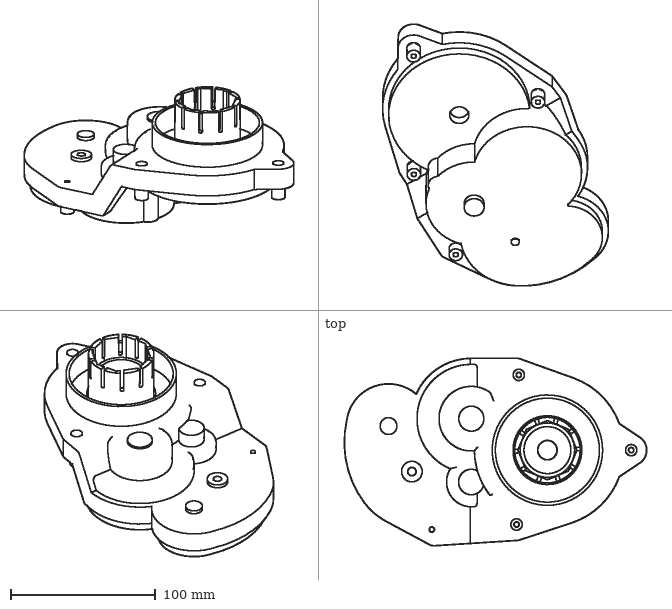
import cadquery as cq
import math


PIN_BOTTOM = -13.25
TRAY_BOTTOM = -8.2
LOWER_PLATE_BOTTOM = 0.0
LOWER_PLATE_TOP = 14.5
DRUM_BOTTOM = 17.0
GEAR_COVER_TOP = 22.9
UPPER_PLATE_BOTTOM = 25.1
POST_TOP = 32.9
UPPER_PLATE_TOP = 40.2
CUP_TOP = UPPER_PLATE_TOP + 17.0
HUB_TOP = PIN_BOTTOM + 87.5
LOW_PAD_HEIGHT = 2.4
TALL_PAD_HEIGHT = 1.3

STEP_SLOPE = math.tan(math.radians(60))
STEP_TOP_START_X = -53.2
STEP_BOTTOM_START_X = -44.9
STEP_TOP_END_X = STEP_TOP_START_X + (UPPER_PLATE_TOP - LOWER_PLATE_TOP) / STEP_SLOPE
STEP_BOTTOM_END_X = STEP_BOTTOM_START_X + UPPER_PLATE_BOTTOM / STEP_SLOPE
STEP_EDGE_RADIUS = 3.0

OUTPUT = (0.0, 0.0)
BIG_GEAR = (-52.5, 21.7)
SMALL_GEAR = (-52.5, -22.0)
LOBE = (-109.6, 16.6)
FLANK = (-70.7, 5.33)
EAR = (57.8, 0.0)

RIM = 4.2
DRUM_RADIUS = 48.8
BIG_GEAR_RADIUS = 37.5
PLATE_RADIUS = DRUM_RADIUS + RIM
SHOULDER_RADIUS = BIG_GEAR_RADIUS + RIM
LOBE_RADIUS = 29.2
FLANK_RADIUS = 69.5
CORNER_START_ANGLE = 217.0
CORNER_RADIUS = 45.0
EAR_RADIUS = 10.75
FRONT_CORNER_RADIUS = 6.5
EAR_ROOT_ANGLE = 20.2
SHOULDER_END = (-19.9, BIG_GEAR[1] + SHOULDER_RADIUS)
FRONT_EDGE_END = (-19.9, -62.3)
FRONT_EDGE_START = (-78.0, -66.05)
FLANK_EDGE_END = (-81.3, -65.3)

COVER_FILLET = 3.0
TALL_COVER_RADIUS = 22.3
SMALL_COVER_RADIUS = 17.1
OUTPUT_COVER_RADIUS = 50.4
POST_RADIUS = 8.8
TALL_PAD_RADIUS = 8.65
LOBE_PAD_RADIUS = 5.8
SHAFT_PAD = (-93.5, -14.8)
SHAFT_PAD_RADIUS = 7.1
SHAFT_HOLE_RADIUS = 2.8

UPPER_SCREWS = [(-19.75, 51.9), (-21.3, -51.3), EAR]
LOWER_SCREW = (-79.7, -54.8)
SCREW_BOSS_RADIUS = 4.67
SCREW_HEAD_RADIUS = 3.9
SCREW_HOLE_RADIUS = 1.7

CUP_RADIUS = 38.1
CUP_WALL = 2.2
HUB_CLEARANCE_RADIUS = 23.75
HUB_RADIUS = 22.6
HUB_BORE_RADIUS = 16.2
HUB_TUBE_RADIUS = 18.75
HUB_TUBE_TOP = 57.2
COLLAR_FLATS = 8
COLLAR_FLATS_DIAMETER = 37.7
COLLAR_FLATS_BOTTOM = UPPER_PLATE_TOP
SLOT_COUNT = 10
SLOT_WIDTH = 2.5
SLOT_BOTTOM = 58.9
SLOT_START_ANGLE = 2.0
OUTPUT_HOLE_RADIUS = 6.6

SMALL_GEAR_CASE_RADIUS = 33.2
TRAY_CORNER_RADIUS = 7.2
TRAY_CORNER = (-26.9, -34.5)
PIN_RADIUS = 6.9

REACH = 200.0
LEFT_END = -150.0
RIGHT_END = 80.0


def on_circle(center, radius, degrees):
    angle = math.radians(degrees)
    return (center[0] + radius * math.cos(angle), center[1] + radius * math.sin(angle))


def direction(start, end):
    """Angle in degrees of the way from start to end."""
    return math.degrees(math.atan2(end[1] - start[1], end[0] - start[0]))


def tangent_point(point, center, radius, side):
    """Where a line from point touches a circle; side is +1 or -1 for the turn seen from the center."""
    spread = math.degrees(math.acos(radius / math.dist(point, center)))
    return on_circle(center, radius, direction(center, point) + side * spread)


def crossing(center_a, radius_a, center_b, radius_b, side):
    """Where two circles cross; side is +1 for the left of the way from a to b, -1 for the right."""
    gap = math.dist(center_a, center_b)
    cosine = (radius_a**2 + gap**2 - radius_b**2) / (2 * radius_a * gap)
    spread = math.degrees(math.acos(cosine))
    return on_circle(center_a, radius_a, direction(center_a, center_b) + side * spread)


CORNER = on_circle(FLANK, FLANK_RADIUS - CORNER_RADIUS, CORNER_START_ANGLE)


def cylinder(center, radius, bottom, top):
    return cq.Workplane("XY", origin=(*center, bottom)).circle(radius).extrude(top - bottom)


def domed(center, radius, bottom, top):
    """Cylinder with a rounded top edge."""
    return cylinder(center, radius, bottom, top).faces(">Z").edges().fillet(COVER_FILLET)


def across(points):
    """Prism over the full depth of the part, from points in the XZ plane."""
    return cq.Workplane("XZ").polyline(points).close().extrude(REACH / 2, both=True)


def left_side(inset):
    """Start of the counterclockwise left end, and its lobe and flank arcs as (end, radius) pairs."""
    lobe_start = crossing(LOBE, LOBE_RADIUS - inset, BIG_GEAR, SHOULDER_RADIUS - inset, 1)
    flank_start = crossing(LOBE, LOBE_RADIUS - inset, FLANK, FLANK_RADIUS - inset, -1)
    corner_start = on_circle(FLANK, FLANK_RADIUS - inset, CORNER_START_ANGLE)
    return lobe_start, [
        (flank_start, LOBE_RADIUS - inset),
        (corner_start, FLANK_RADIUS - inset),
    ]


def housing_outline():
    lobe_start, left_arcs = left_side(0)
    corner_end = tangent_point(FLANK_EDGE_END, CORNER, CORNER_RADIUS, -1)
    front_root = on_circle(OUTPUT, PLATE_RADIUS, -EAR_ROOT_ANGLE)
    back_root = on_circle(OUTPUT, PLATE_RADIUS, EAR_ROOT_ANGLE)
    outline = cq.Workplane("XY").moveTo(*lobe_start)
    for end, radius in left_arcs + [(corner_end, CORNER_RADIUS)]:
        outline = outline.radiusArc(end, -radius)
    return (
        outline.lineTo(*FLANK_EDGE_END)
        .radiusArc(FRONT_EDGE_START, -FRONT_CORNER_RADIUS)
        .lineTo(*FRONT_EDGE_END)
        .lineTo(*tangent_point(FRONT_EDGE_END, OUTPUT, PLATE_RADIUS, 1))
        .radiusArc(front_root, -PLATE_RADIUS)
        .lineTo(*tangent_point(front_root, EAR, EAR_RADIUS, 1))
        .radiusArc(tangent_point(back_root, EAR, EAR_RADIUS, -1), -EAR_RADIUS)
        .lineTo(*back_root)
        .radiusArc(tangent_point(SHOULDER_END, OUTPUT, PLATE_RADIUS, -1), -PLATE_RADIUS)
        .lineTo(*SHOULDER_END)
        .lineTo(BIG_GEAR[0], SHOULDER_END[1])
        .radiusArc(lobe_start, -SHOULDER_RADIUS)
        .close()
    )


def stepped_plate():
    outline = housing_outline().extrude(UPPER_PLATE_TOP)
    step = across([
        (LEFT_END, LOWER_PLATE_BOTTOM),
        (STEP_BOTTOM_START_X, LOWER_PLATE_BOTTOM),
        (STEP_BOTTOM_END_X, UPPER_PLATE_BOTTOM),
        (RIGHT_END, UPPER_PLATE_BOTTOM),
        (RIGHT_END, UPPER_PLATE_TOP),
        (STEP_TOP_END_X, UPPER_PLATE_TOP),
        (STEP_TOP_START_X, LOWER_PLATE_TOP),
        (LEFT_END, LOWER_PLATE_TOP),
    ])
    upper_edge = cq.selectors.NearestToPointSelector((STEP_TOP_END_X, 0, UPPER_PLATE_TOP))
    return outline.intersect(step.edges("|Y").edges(upper_edge).fillet(STEP_EDGE_RADIUS))


def above_underside():
    """Space over the underside of the plates."""
    return across([
        (LEFT_END, LOWER_PLATE_BOTTOM),
        (STEP_BOTTOM_START_X, LOWER_PLATE_BOTTOM),
        (STEP_BOTTOM_END_X, UPPER_PLATE_BOTTOM),
        (RIGHT_END, UPPER_PLATE_BOTTOM),
        (RIGHT_END, HUB_TOP),
        (LEFT_END, HUB_TOP),
    ])


def gear_covers():
    covers = domed(BIG_GEAR, BIG_GEAR_RADIUS, LOWER_PLATE_BOTTOM, GEAR_COVER_TOP)
    covers = covers.union(domed(SMALL_GEAR, SMALL_COVER_RADIUS, LOWER_PLATE_BOTTOM, GEAR_COVER_TOP))
    covers = covers.union(cylinder(SMALL_GEAR, POST_RADIUS, LOWER_PLATE_BOTTOM, POST_TOP))
    covers = covers.union(domed(BIG_GEAR, TALL_COVER_RADIUS, LOWER_PLATE_BOTTOM, UPPER_PLATE_TOP))
    output_cover = domed(OUTPUT, OUTPUT_COVER_RADIUS, LOWER_PLATE_BOTTOM, UPPER_PLATE_TOP)
    return covers.union(output_cover).intersect(above_underside())


def pads():
    low_top = LOWER_PLATE_TOP + LOW_PAD_HEIGHT
    tall_top = UPPER_PLATE_TOP + TALL_PAD_HEIGHT
    return (
        cylinder(LOBE, LOBE_PAD_RADIUS, LOWER_PLATE_BOTTOM, low_top)
        .union(cylinder(SHAFT_PAD, SHAFT_PAD_RADIUS, LOWER_PLATE_BOTTOM, low_top))
        .union(cylinder(BIG_GEAR, TALL_PAD_RADIUS, UPPER_PLATE_BOTTOM, tall_top))
    )


def make_housing():
    body = stepped_plate().union(gear_covers()).union(pads())
    body = body.union(cylinder(OUTPUT, CUP_RADIUS, UPPER_PLATE_BOTTOM, CUP_TOP))
    body = body.cut(cylinder(OUTPUT, CUP_RADIUS - CUP_WALL, UPPER_PLATE_TOP, CUP_TOP))
    body = body.cut(cylinder(OUTPUT, HUB_CLEARANCE_RADIUS, UPPER_PLATE_BOTTOM, UPPER_PLATE_TOP))
    for screw in UPPER_SCREWS:
        body = body.union(cylinder(screw, SCREW_BOSS_RADIUS, LOWER_PLATE_TOP, UPPER_PLATE_BOTTOM))
        body = body.cut(cylinder(screw, SCREW_HEAD_RADIUS, UPPER_PLATE_BOTTOM, UPPER_PLATE_TOP))
        body = body.cut(cylinder(screw, SCREW_HOLE_RADIUS, LOWER_PLATE_TOP, UPPER_PLATE_BOTTOM))
    body = body.union(cylinder(LOWER_SCREW, SCREW_BOSS_RADIUS, TRAY_BOTTOM, LOWER_PLATE_BOTTOM))
    body = body.cut(cylinder(LOWER_SCREW, SCREW_HOLE_RADIUS, TRAY_BOTTOM, LOWER_PLATE_TOP))
    return body.cut(cylinder(SHAFT_PAD, SHAFT_HOLE_RADIUS, LOWER_PLATE_BOTTOM, CUP_TOP))


def tray_left_end():
    lobe_start, left_arcs = left_side(RIM)
    corner_end = on_circle(CORNER, CORNER_RADIUS - RIM, -90)
    outline = cq.Workplane("XY", origin=(0, 0, TRAY_BOTTOM)).moveTo(*lobe_start)
    for end, radius in left_arcs + [(corner_end, CORNER_RADIUS - RIM)]:
        outline = outline.radiusArc(end, -radius)
    return outline.lineTo(*SMALL_GEAR).lineTo(*BIG_GEAR).close().extrude(-TRAY_BOTTOM)


def make_tray():
    rounds = [
        (CORNER, CORNER_RADIUS - RIM),
        (BIG_GEAR, BIG_GEAR_RADIUS),
        (SMALL_GEAR, SMALL_GEAR_CASE_RADIUS),
        (TRAY_CORNER, TRAY_CORNER_RADIUS),
    ]
    body = tray_left_end()
    for center, radius in rounds:
        body = body.union(cylinder(center, radius, TRAY_BOTTOM, UPPER_PLATE_BOTTOM))
    body = body.union(cylinder(OUTPUT, DRUM_RADIUS, DRUM_BOTTOM, UPPER_PLATE_BOTTOM))
    body = body.cut(above_underside())
    body = body.union(cylinder(SMALL_GEAR, PIN_RADIUS, PIN_BOTTOM, TRAY_BOTTOM))
    body = body.cut(cylinder(OUTPUT, OUTPUT_HOLE_RADIUS, DRUM_BOTTOM, UPPER_PLATE_BOTTOM))
    return body.cut(cylinder(SHAFT_PAD, SHAFT_HOLE_RADIUS, TRAY_BOTTOM, LOWER_PLATE_BOTTOM))


def hub_slot(angle):
    """Radial slot open at the top, with a rounded bottom."""
    round_center = SLOT_BOTTOM + SLOT_WIDTH / 2
    slot = (
        cq.Workplane("YZ")
        .moveTo(-SLOT_WIDTH / 2, HUB_TOP)
        .lineTo(-SLOT_WIDTH / 2, round_center)
        .threePointArc((0, SLOT_BOTTOM), (SLOT_WIDTH / 2, round_center))
        .lineTo(SLOT_WIDTH / 2, HUB_TOP)
        .close()
        .extrude(HUB_CLEARANCE_RADIUS)
    )
    return slot.rotate((0, 0, 0), (0, 0, 1), angle)


def collar_flats():
    """Octagonal bore with corners on the X and Y axes."""
    flats = (
        cq.Workplane("XY", origin=(0, 0, COLLAR_FLATS_BOTTOM))
        .polygon(COLLAR_FLATS, COLLAR_FLATS_DIAMETER, circumscribed=True)
        .extrude(HUB_TOP - COLLAR_FLATS_BOTTOM)
    )
    return flats.rotate((0, 0, 0), (0, 0, 1), 180 / COLLAR_FLATS)


def make_hub():
    body = cylinder(OUTPUT, HUB_RADIUS, UPPER_PLATE_BOTTOM, HUB_TOP)
    body = body.cut(collar_flats())
    body = body.union(cylinder(OUTPUT, HUB_TUBE_RADIUS, UPPER_PLATE_BOTTOM, HUB_TUBE_TOP))
    body = body.cut(cylinder(OUTPUT, HUB_BORE_RADIUS, UPPER_PLATE_BOTTOM, HUB_TOP))
    for index in range(SLOT_COUNT):
        body = body.cut(hub_slot(SLOT_START_ANGLE + index * 360 / SLOT_COUNT))
    return body


housing = make_housing()
tray = make_tray()
hub = make_hub()
result = cq.Compound.makeCompound([housing.val(), tray.val(), hub.val()])